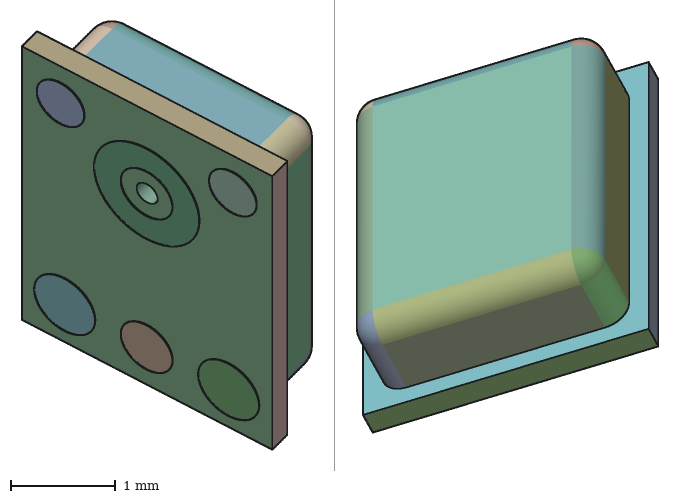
import cadquery as cq

board_width = 2.95
board_height = 3.76
board_thickness = 0.25

lid_width = 2.55
lid_height = 3.355
lid_radius = 0.25

pad_thickness = 0.01
top_pad_diameter = 0.56
top_pad_x = 1.015
top_pad_z = 1.38
bottom_pad_diameter = 0.72
bottom_pad_x = 0.965
bottom_pad_z = -1.357
middle_pad_diameter = 0.61

ring_outer_diameter = 1.24
ring_inner_diameter = 0.61
port_diameter = 0.25
port_z = 0.752

overall_depth = 1.11
lid_depth = overall_depth - board_thickness - pad_thickness


def disc(diameter, x, z, thickness):
    """Disc standing on the y = 0 face and reaching toward +Y; negative thickness reaches toward -Y."""
    axis_plane = cq.Workplane("XZ", origin=(x, 0, z))
    return axis_plane.circle(diameter / 2).extrude(-thickness)


def make_board():
    """Plate from y = 0 to its thickness, with the port hole passing through it."""
    plate = cq.Workplane("XY").box(board_width, board_thickness, board_height, centered=(True, False, True))
    return plate.cut(disc(port_diameter, 0, port_z, board_thickness))


def make_lid():
    """Block with rounded side edges and a rounded outer rim, seated on the board."""
    block = (
        cq.Workplane("XY", origin=(0, board_thickness, 0))
        .box(lid_width, lid_depth, lid_height, centered=(True, False, True))
    )
    return block.edges("|Y or >Y").fillet(lid_radius)


def make_pad(diameter, x, z):
    """Thin round contact on the -Y face of the board."""
    return disc(diameter, x, z, -pad_thickness)


def make_ring_pad():
    """Annular contact around the port hole."""
    opening = make_pad(ring_inner_diameter, 0, port_z)
    return make_pad(ring_outer_diameter, 0, port_z).cut(opening)


board = make_board()
lid = make_lid()
ring_pad = make_ring_pad()
middle_pad = make_pad(middle_pad_diameter, 0, bottom_pad_z)

corner_pads = []
for side in (-1, 1):
    corner_pads.append(make_pad(top_pad_diameter, side * top_pad_x, top_pad_z).val())
    corner_pads.append(make_pad(bottom_pad_diameter, side * bottom_pad_x, bottom_pad_z).val())

result = cq.Compound.makeCompound([board.val(), lid.val(), ring_pad.val(), middle_pad.val(), *corner_pads])